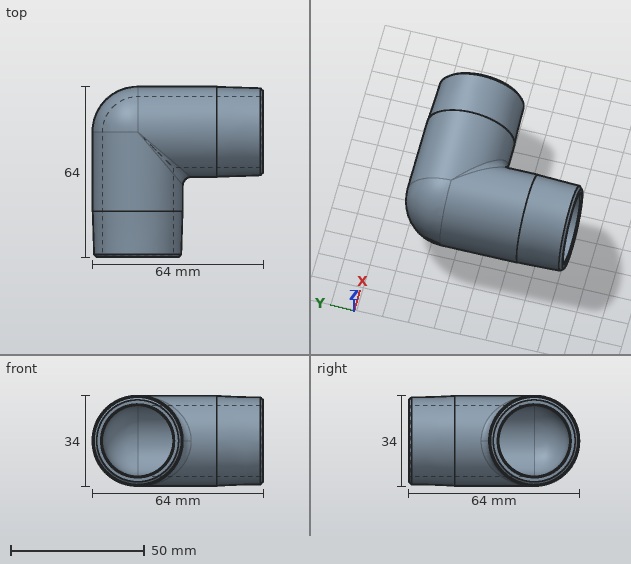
import cadquery as cq

overall_length = 64.0
body_diameter = 34.0
bore_diameter = 26.6
spigot_length = 17.3
spigot_base_diameter = 33.8
spigot_end_diameter = 32.8
rim_chamfer = 1.0
bore_chamfer = 0.5
inner_corner_radius = 3.0

body_radius = body_diameter / 2
bore_radius = bore_diameter / 2
end_distance = overall_length - body_radius
body_length = end_distance - spigot_length
rim_start = end_distance - rim_chamfer
rim_radius = spigot_end_diameter / 2 - rim_chamfer


def legs_along_both_axes(profile):
    """Revolve an (x, y) profile about +X and repeat it along -Y."""
    leg_x = cq.Workplane("XY").polyline(profile).close().revolve(360, (0, 0, 0), (1, 0, 0))
    leg_y = leg_x.rotate((0, 0, 0), (0, 0, 1), -90)
    return leg_x, leg_y


def round_elbow(radius, length):
    """Two crossing cylinders whose outer corner is a ball of the same radius."""
    leg_x, leg_y = legs_along_both_axes([(0, 0), (length, 0), (length, radius), (0, radius)])
    ball = cq.Workplane("XY").sphere(radius)
    return leg_x.union(leg_y).union(ball)


def filleted_body():
    """Elbow body with a fillet along the crease at the inner corner."""
    body = round_elbow(body_radius, body_length)
    return body.edges("%ELLIPSE").fillet(inner_corner_radius)


def add_spigots(body):
    """Tapered ends with a chamfered rim."""
    profile = [
        (body_length, 0),
        (body_length, spigot_base_diameter / 2),
        (rim_start, spigot_end_diameter / 2),
        (end_distance, rim_radius),
        (end_distance, 0),
    ]
    for spigot in legs_along_both_axes(profile):
        body = body.union(spigot)
    return body


def cut_bore(body):
    """Through passage with a spherical corner and chamfered mouths."""
    body = body.cut(round_elbow(bore_radius, end_distance))
    mouth_profile = [
        (end_distance - bore_chamfer, 0),
        (end_distance - bore_chamfer, bore_radius),
        (end_distance, bore_radius + bore_chamfer),
        (end_distance, 0),
    ]
    for mouth in legs_along_both_axes(mouth_profile):
        body = body.cut(mouth)
    return body


result = cut_bore(add_spigots(filleted_body()))